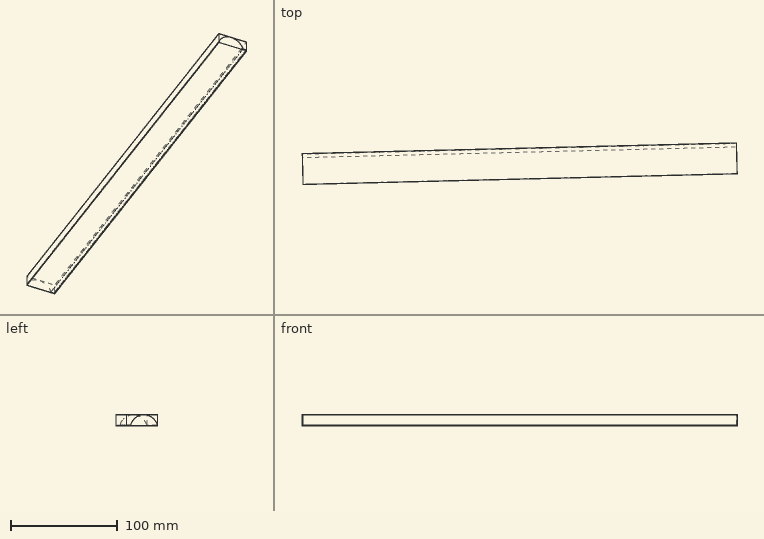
import cadquery as cq
import math

overall_x = 407.8
overall_y = 39.0
height = 10.5
tilt = 1.41

tilt_cos = math.cos(math.radians(tilt))
tilt_sin = math.sin(math.radians(tilt))
tilt_divisor = tilt_cos**2 - tilt_sin**2
bar_length = (overall_x * tilt_cos - overall_y * tilt_sin) / tilt_divisor
bar_width = (overall_y * tilt_cos - overall_x * tilt_sin) / tilt_divisor

front_wall = 0.16
back_wall = 0.6
base_thickness = 1.0
arch_width = 25.0
arch_offset = -1.75
crown_cover = 0.25


def long_block(section):
    """Extrude a cross-section, drawn in the YZ plane, along the bar length."""
    return section.extrude(bar_length / 2, both=True)


def tilted(body):
    """Turn a body about Z to the tilt of the bar."""
    return body.rotate((0, 0, 0), (0, 0, 1), tilt)


def make_core():
    """Base strip and arch as one solid, flush with the bar bottom and both ends."""
    bottom = -height / 2
    base_top = bottom + base_thickness
    base_front = -bar_width / 2 + front_wall
    base_back = bar_width / 2 - back_wall
    arch_front = arch_offset - arch_width / 2
    arch_back = arch_offset + arch_width / 2
    crown = (arch_offset, height / 2 - crown_cover)
    section = (
        cq.Workplane("YZ")
        .moveTo(base_front, bottom)
        .lineTo(base_back, bottom)
        .lineTo(base_back, base_top)
        .lineTo(arch_back, base_top)
        .threePointArc(crown, (arch_front, base_top))
        .lineTo(base_front, base_top)
        .close()
    )
    return long_block(section)


def make_bar(core):
    """Rectangular bar with a channel in its underside that the core fills."""
    block = long_block(cq.Workplane("YZ").rect(bar_width, height))
    return block.cut(core)


core = make_core()
bar = make_bar(core)

result = cq.Compound.makeCompound([tilted(bar).val(), tilted(core).val()])